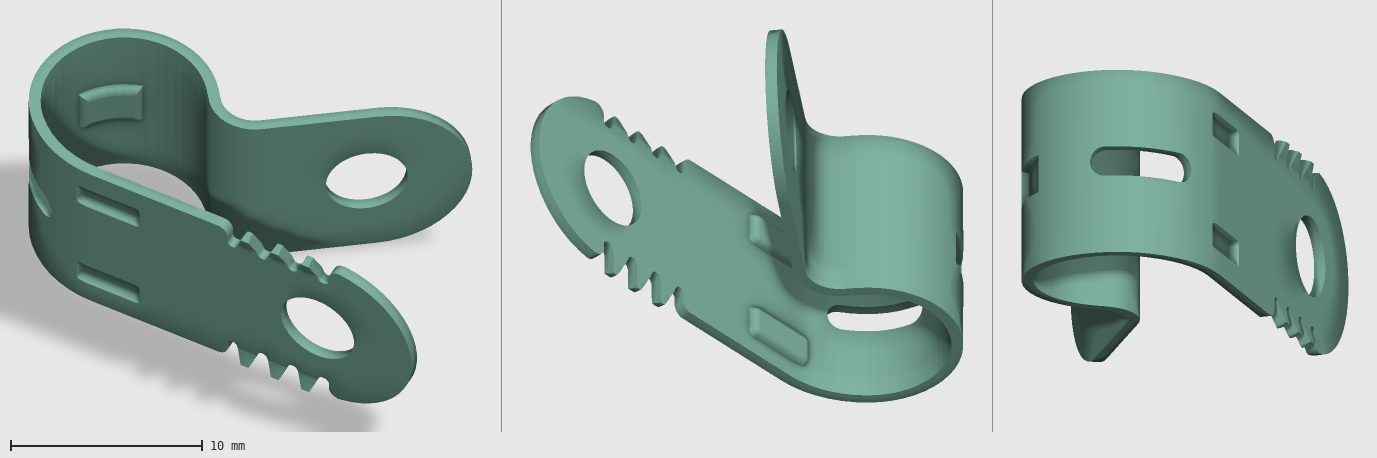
import cadquery as cq
import math


length = 24.78
width = 9.95
half_width = width / 2
thickness = 0.62
clearance = 0.25

wide_radius = 6.2
tight_radius = 4.98
wide_center = (5.87, wide_radius)
radius_step = wide_radius - tight_radius
tight_center = (
    tight_radius,
    wide_radius - math.sqrt(radius_step**2 - (wide_center[0] - tight_radius) ** 2),
)
seam_angle = 180 + math.degrees(
    math.atan2(wide_center[1] - tight_center[1], wide_center[0] - tight_center[0])
)

bend_radius = 2.43
bend_center = (10.8, 6.5 + bend_radius)
arm_angle = 36.1
arm_length = 11.1

hole_diameter = 4.3
hole_to_end = 5.55

slot_width = 1.59
slot_start_angle = 193.5
slot_end_angle = 237.5

rib_height = 0.42
rib_taper = 25.0
pocket_fillet = 0.22
boss_fillet = 0.37
pocket_corner_radius = 0.25
boss_corner_radius = 0.4
plate_rib_x = 6.85
plate_rib_z = 3.02
plate_pocket_size = (3.77, 1.4)
rib_wall = 0.27
loop_rib_angle = 128.1
loop_pocket_width = 2.03
loop_pocket_half_angle = 17.3
loop_boss_half_angle = 23.2

teeth_start = 13.93
teeth_end = 19.9
tooth_count = 3
first_tooth_x = 15.1
tooth_pitch = 1.78
tooth_root_z = 3.75
tooth_root_half_width = 0.7
tooth_tip_z = 5.13
tooth_tip_half_width = 0.15
tooth_tip_fillet = 0.21
tooth_root_fillet = 0.27
fold_z = 4.06
fold_angle = 20.0
tooth_length = 0.92
notch_corner_radius = 0.6


def polar(center, radius, degrees):
    """Point at a radius and angle about a centre."""
    angle = math.radians(degrees)
    return (center[0] + radius * math.cos(angle), center[1] + radius * math.sin(angle))


def arc_to(sketch, center, radius, start, end):
    """Add an arc about a centre, from the current point at the start angle to the end angle."""
    return sketch.threePointArc(polar(center, radius, (start + end) / 2), polar(center, radius, end))


center_dx = bend_center[0] - tight_center[0]
center_dy = bend_center[1] - tight_center[1]
tangent_reach = tight_radius - thickness + bend_radius
loop_end_angle = math.degrees(
    math.atan2(center_dy, center_dx) + math.acos(tangent_reach / math.hypot(center_dx, center_dy))
)
bend_start_angle = loop_end_angle + 180
bend_end_angle = 270 + arm_angle
arm_start = polar(bend_center, bend_radius, bend_end_angle)
arm_tip = polar(arm_start, arm_length, arm_angle)
arm_tip_back = polar(arm_tip, thickness, arm_angle + 90)
bend_back_radius = bend_radius - thickness


def make_strip():
    """Bent strip with square ends, the outer side first and the inner side on the way back."""
    outline = cq.Workplane("XY").moveTo(length, 0).lineTo(wide_center[0], 0)
    outline = arc_to(outline, wide_center, wide_radius, 270, seam_angle)
    outline = arc_to(outline, tight_center, tight_radius, seam_angle, loop_end_angle)
    outline = outline.lineTo(*polar(bend_center, bend_back_radius, bend_start_angle))
    outline = arc_to(outline, bend_center, bend_back_radius, bend_start_angle, bend_end_angle)
    outline = outline.lineTo(*arm_tip_back).lineTo(*arm_tip).lineTo(*arm_start)
    outline = arc_to(outline, bend_center, bend_radius, bend_end_angle, bend_start_angle)
    outline = outline.lineTo(*polar(tight_center, tight_radius - thickness, loop_end_angle))
    outline = arc_to(outline, tight_center, tight_radius - thickness, loop_end_angle, seam_angle)
    outline = arc_to(outline, wide_center, wide_radius - thickness, seam_angle, 270)
    outline = outline.lineTo(length, thickness).close()
    return outline.extrude(half_width, both=True)


def end_plane(tip, degrees):
    """Plane on the plate-side face of a strip end, its x axis pointing out of the tip."""
    angle = math.radians(degrees)
    along = (math.cos(angle), math.sin(angle), 0)
    normal = (math.sin(angle), -math.cos(angle), 0)
    return cq.Plane(origin=(tip[0], tip[1], 0), xDir=along, normal=normal)


def end_cutter(tip, degrees):
    """Corners outside a half-round strip end, together with its screw hole."""
    reach = thickness + clearance
    plane = end_plane(tip, degrees)
    block = cq.Workplane(plane).rect(2 * half_width, 2 * (half_width + clearance)).extrude(reach, both=True)
    round_end = cq.Workplane(plane).center(-half_width, 0).circle(half_width).extrude(reach, both=True)
    hole = cq.Workplane(plane).center(-hole_to_end, 0).circle(hole_diameter / 2).extrude(reach, both=True)
    return block.cut(round_end).union(hole)


def ring_sector(center, inner, outer, start, end, height):
    """Sector of a ring about a Z axis, centred on Z = 0."""
    outline = cq.Workplane("XY").moveTo(*polar(center, outer, start))
    outline = arc_to(outline, center, outer, start, end)
    outline = outline.lineTo(*polar(center, inner, end))
    outline = arc_to(outline, center, inner, end, start)
    return outline.close().extrude(height / 2, both=True)


def slot_end(center, radius, degrees):
    """Round end of the slot, a pin pointing along the loop radius."""
    inner_point = polar(center, radius - thickness - clearance, degrees)
    angle = math.radians(degrees)
    outward = (math.cos(angle), math.sin(angle), 0)
    plane = cq.Plane(origin=(inner_point[0], inner_point[1], 0), xDir=(0, 0, 1), normal=outward)
    return cq.Workplane(plane).circle(slot_width / 2).extrude(thickness + 2 * clearance)


def slot_cutter():
    cutter = slot_end(tight_center, tight_radius, slot_start_angle)
    cutter = cutter.union(slot_end(wide_center, wide_radius, slot_end_angle))
    for center, radius, start, end in (
        (tight_center, tight_radius, slot_start_angle, seam_angle),
        (wide_center, wide_radius, seam_angle, slot_end_angle),
    ):
        inner = radius - thickness - clearance
        cutter = cutter.union(ring_sector(center, inner, radius + clearance, start, end, slot_width))
    return cutter


def plate_rib_body(z, base_y, size, corner_radius, floor_fillet):
    """Tapered block rising in +Y from base_y, its corners and far face rounded."""
    plane = cq.Plane(origin=(plate_rib_x, base_y, z), xDir=(1, 0, 0), normal=(0, 1, 0))
    block = cq.Workplane(plane).rect(*size).extrude(rib_height, taper=rib_taper)
    block = block.edges("not #Y").fillet(corner_radius)
    return block.faces(">Y").edges().fillet(floor_fillet)


def add_plate_ribs(body):
    boss_size = tuple(side + 2 * rib_wall for side in plate_pocket_size)
    for z in (-plate_rib_z, plate_rib_z):
        boss = plate_rib_body(z, thickness, boss_size, boss_corner_radius, boss_fillet)
        pocket = plate_rib_body(z, 0, plate_pocket_size, pocket_corner_radius, pocket_fillet)
        body = body.union(boss).cut(pocket)
    return body


def loop_rib_body(base_radius, half_angle, base_width, floor_fillet):
    """Rib sector pointing at the loop axis, tapered on all four sides from its base radius."""
    floor_radius = base_radius - rib_height
    inset = rib_height * math.tan(math.radians(rib_taper))
    floor_half_angle = half_angle - math.degrees(inset / floor_radius)
    first = loop_rib_angle - half_angle
    last = loop_rib_angle + half_angle
    sides = cq.Workplane("XY").moveTo(*polar(tight_center, base_radius, first))
    sides = arc_to(sides, tight_center, base_radius, first, last)
    floor_first = loop_rib_angle - floor_half_angle
    floor_last = loop_rib_angle + floor_half_angle
    sides = sides.lineTo(*polar(tight_center, floor_radius, floor_last))
    sides = arc_to(sides, tight_center, floor_radius, floor_last, floor_first)
    sides = sides.close().extrude(base_width, both=True)
    section = (
        cq.Workplane("XZ")
        .polyline(
            [
                (floor_radius, inset - base_width / 2),
                (base_radius, -base_width / 2),
                (base_radius, base_width / 2),
                (floor_radius, base_width / 2 - inset),
            ]
        )
        .close()
        .revolve(360, (0, 0), (0, 1))
        .translate((tight_center[0], tight_center[1], 0))
    )
    loop_axis = cq.selectors.NearestToPointSelector((tight_center[0], tight_center[1], 0))
    floor = sides.intersect(section).faces("%CYLINDER").faces(loop_axis)
    return floor.edges().fillet(floor_fillet)


def add_loop_rib(body):
    boss_base = tight_radius - thickness
    boss_width = loop_pocket_width + 2 * rib_wall
    boss = loop_rib_body(boss_base, loop_boss_half_angle, boss_width, boss_fillet)
    pocket = loop_rib_body(tight_radius, loop_pocket_half_angle, loop_pocket_width, pocket_fillet)
    return body.union(boss).cut(pocket)


def tooth_rack():
    """Teeth on the +Z edge: their front outline cut from the bent edge of the strip."""
    strip_z = tooth_root_z - clearance
    points = [(teeth_start, strip_z), (teeth_start, tooth_root_z)]
    for index in range(tooth_count):
        x = first_tooth_x + index * tooth_pitch
        points += [
            (x - tooth_root_half_width, tooth_root_z),
            (x - tooth_tip_half_width, tooth_tip_z),
            (x + tooth_tip_half_width, tooth_tip_z),
            (x + tooth_root_half_width, tooth_root_z),
        ]
    points += [(teeth_end, tooth_root_z), (teeth_end, strip_z)]
    front = cq.Workplane("XZ").polyline(points).close().extrude(2 * thickness, both=True)
    front = front.edges("|Y").edges(">Z").fillet(tooth_tip_fillet)
    roots = cq.selectors.BoxSelector(
        (teeth_start + clearance, -thickness, tooth_root_z - clearance / 2),
        (teeth_end - clearance, thickness, tooth_root_z + clearance / 2),
    )
    front = front.edges("|Y").edges(roots).fillet(tooth_root_fillet)

    inner_fold = (thickness, fold_z + thickness * math.tan(math.radians(fold_angle / 2)))
    outer_tip = polar((0, fold_z), tooth_length, 90 + fold_angle)
    inner_tip = polar(outer_tip, thickness, fold_angle)
    bent_edge = (
        cq.Workplane("YZ", origin=(teeth_start, 0, 0))
        .polyline([(0, strip_z), (0, fold_z), outer_tip, inner_tip, inner_fold, (thickness, strip_z)])
        .close()
        .extrude(teeth_end - teeth_start)
    )
    return front.intersect(bent_edge)


def add_teeth(body):
    notch_height = half_width + clearance - tooth_root_z
    notch = (
        cq.Workplane("XY")
        .box(teeth_end - teeth_start, 4 * thickness, notch_height, centered=(False, True, False))
        .edges("|Y and <Z")
        .fillet(tooth_root_fillet)
        .translate((teeth_start, 0, tooth_root_z))
    )
    body = body.cut(notch).cut(notch.mirror("XY"))
    for side in (-half_width, half_width):
        edge_zone = cq.selectors.BoxSelector(
            (teeth_start - clearance, 0, side - clearance),
            (teeth_end + clearance, thickness, side + clearance),
        )
        body = body.edges("|Y").edges(edge_zone).fillet(notch_corner_radius)
    rack = tooth_rack()
    return body.union(rack).union(rack.mirror("XY"))


clip = make_strip()
clip = clip.cut(end_cutter((length, 0), 0)).cut(end_cutter(arm_tip, arm_angle))
clip = clip.cut(slot_cutter())
clip = add_plate_ribs(clip)
clip = add_loop_rib(clip)
result = add_teeth(clip)